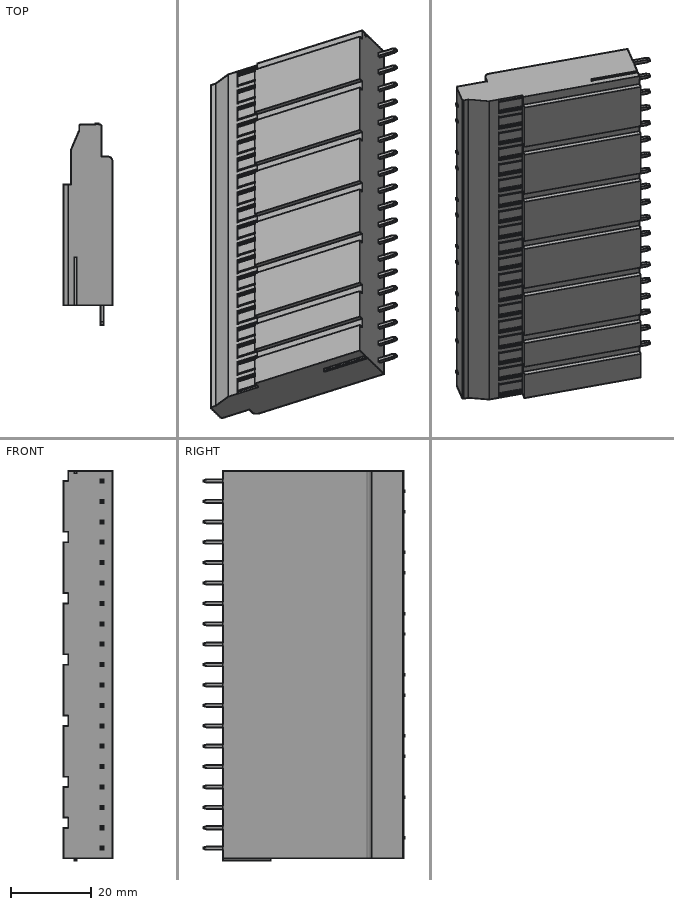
import cadquery as cq

pole_count = 19
body_height = 96.5
pitch = body_height / pole_count
body_length = 45.1
body_width = 12.2

rail_depth = 1.2
step_x = 1.8
step_y = 30.1
slope_start_y = 38.75
slope_end_y = 43.5
nose_x = 3.9
nose_back_x = 9.5
nose_chamfer = 0.3
shoulder_y = 37.1
shoulder_radius = 1.3

notch_poles = (0, 3, 6, 9, 12, 15, 17)
notch_height = pitch / 2

tongue_x = 2.7
tongue_width = 0.6
tongue_height = 0.6
tongue_length = 11.9

recess_length = 6.1
recess_height = 3.9
recess_depth = 0.6
island_height = 2.8
island_depth = 0.3

pin_x = 9.2
pin_width = 0.9
pin_height = 0.9
pin_length = 5.0
pin_tip_length = 0.9
pin_tip_height = 0.3

nub_x = 8.0
nub_width = 0.9
nub_height = 0.5
nub_length = 0.3


def box(x, y, z, width, length, height):
    """Box from its lowest corner."""
    return cq.Workplane("XY").box(width, length, height, centered=False).translate((x, y, z))


def pole_z(index):
    """Height of a pole centre, counted from the top."""
    return body_height - (index + 0.5) * pitch


def make_housing():
    """Stepped outline with the chamfered nose, over the full height."""
    return (
        cq.Workplane("XY")
        .moveTo(0, 0)
        .lineTo(body_width, 0)
        .lineTo(body_width, shoulder_y - shoulder_radius)
        .radiusArc((body_width - shoulder_radius, shoulder_y), -shoulder_radius)
        .lineTo(nose_back_x, shoulder_y)
        .lineTo(nose_back_x, body_length - nose_chamfer)
        .lineTo(nose_back_x - nose_chamfer, body_length)
        .lineTo(nose_x + nose_chamfer, body_length)
        .lineTo(nose_x, body_length - nose_chamfer)
        .lineTo(nose_x, slope_end_y)
        .lineTo(step_x, slope_start_y)
        .lineTo(step_x, step_y)
        .lineTo(0, step_y)
        .close()
        .extrude(body_height)
    )


def make_pin(z):
    """Square pin with a tip that tapers in height."""
    half = pin_height / 2
    tip_half = pin_tip_height / 2
    taper_y = pin_tip_length - pin_length
    return (
        cq.Workplane("YZ", origin=(pin_x, 0, z))
        .polyline([
            (0, -half),
            (taper_y, -half),
            (-pin_length, -tip_half),
            (-pin_length, tip_half),
            (taper_y, half),
            (0, half),
        ])
        .close()
        .extrude(pin_width)
    )


def make_recess(z):
    """Volume to remove for one recess, leaving its island standing."""
    pocket = box(step_x, step_y, z - recess_height / 2, recess_depth, recess_length, recess_height)
    island = box(
        step_x + island_depth,
        step_y,
        z - island_height / 2,
        recess_depth - island_depth,
        recess_length,
        island_height,
    )
    return pocket.cut(island)


result = make_housing()

for pole in notch_poles:
    result = result.cut(box(0, 0, pole_z(pole), rail_depth, step_y, notch_height))

for pole in range(pole_count):
    result = result.cut(make_recess(pole_z(pole)))
    result = result.union(make_pin(pole_z(pole)))

for pole in range(pole_count - 1):
    if pole + 1 not in notch_poles:
        gap_z = pole_z(pole) - pitch / 2
        result = result.union(
            box(nub_x, body_length, gap_z - nub_height / 2, nub_width, nub_length, nub_height)
        )

result = result.cut(
    box(tongue_x, 0, body_height - tongue_height, tongue_width, tongue_length, tongue_height)
)
result = result.union(
    box(tongue_x, 0, -tongue_height, tongue_width, tongue_length, tongue_height)
)